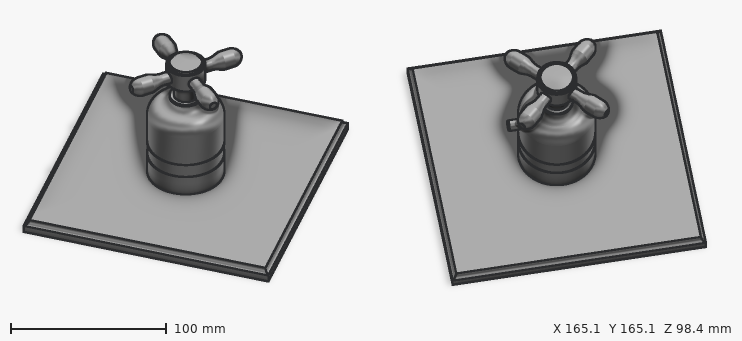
import cadquery as cq
import math

plate_side = 165.1
side_count = 4
plate_edge_height = 5.0
plate_height = 8.5
cove_width = 2.8

body_radius = 25.0
band_depth = 0.3
band_bottom = 22.6
band_top = 32.4
shoulder_bottom = 54.2
shoulder_radius = 9.9
shoulder_edge_radius = 16.5
collar_radius = 10.4
collar_bottom = 69.0
collar_top = 70.3
collar_cove_sag = 1.0
neck_radius = 7.6

hub_radius = 12.5
hub_taper_radius = 8.3
hub_taper_bottom = 80.2
hub_bottom = 83.0
hub_top = 95.8
cap_radius = 11.0
cap_crown_radius = 10.4
cap_edge_top = 97.2
overall_height = 98.4

arm_count = 4
arm_first_angle = 45.0
arm_height = 89.0
arm_stem_radius = 4.0
arm_stem_end = 17.8
arm_flare_end = 23.1
arm_flare_radius = 5.3
arm_flare_sag = 0.25
arm_grip_start = 25.8
arm_grip_end = 33.2
arm_grip_radius = 6.1
arm_tip_radius = 2.5
arm_reach = 39.1
arm_nose_sag = 0.8

button_radius = 3.5
button_height = 48.5
button_reach = 31.9
button_chamfer = 0.7


def make_plate():
    """Square plate whose upper edge is hollowed by a cove, vertical where it meets the top face."""
    half = plate_side / 2
    cove_height = plate_height - plate_edge_height
    cove_radius = (cove_width**2 + cove_height**2) / (2 * cove_width)
    cove_axis = half - cove_width + cove_radius
    plate = cq.Workplane("XY").box(plate_side, plate_side, plate_height, centered=(True, True, False))
    for side in range(side_count):
        cutter = (
            cq.Workplane("XZ")
            .center(cove_axis, plate_height)
            .circle(cove_radius)
            .extrude(plate_side, both=True)
            .rotate((0, 0, 0), (0, 0, 1), side * 360 / side_count)
        )
        plate = plate.cut(cutter)
    return plate


def make_body():
    """Turned body and hub: grooved barrel, rounded shoulder, neck and domed cap."""
    band_radius = body_radius - band_depth
    shoulder_axis = body_radius - shoulder_radius
    diagonal = shoulder_radius * math.sqrt(0.5)
    shoulder_top = shoulder_bottom + math.sqrt(
        shoulder_radius**2 - (shoulder_edge_radius - shoulder_axis) ** 2
    )
    crown_rise = overall_height - cap_edge_top
    crown_sphere_radius = (cap_crown_radius**2 + crown_rise**2) / (2 * crown_rise)
    return (
        cq.Workplane("XZ")
        .moveTo(0, 0)
        .lineTo(body_radius, 0)
        .lineTo(body_radius, band_bottom)
        .lineTo(band_radius, band_bottom)
        .lineTo(band_radius, band_top)
        .lineTo(body_radius, band_top)
        .lineTo(body_radius, shoulder_bottom)
        .threePointArc(
            (shoulder_axis + diagonal, shoulder_bottom + diagonal),
            (shoulder_edge_radius, shoulder_top),
        )
        .sagittaArc((collar_radius, collar_bottom), collar_cove_sag)
        .lineTo(collar_radius, collar_top)
        .lineTo(neck_radius, collar_top)
        .lineTo(neck_radius, hub_taper_bottom)
        .lineTo(hub_taper_radius, hub_taper_bottom)
        .lineTo(hub_radius, hub_bottom)
        .lineTo(hub_radius, hub_top)
        .lineTo(cap_radius, hub_top)
        .lineTo(cap_crown_radius, cap_edge_top)
        .radiusArc((0, overall_height), -crown_sphere_radius)
        .close()
        .revolve(360, (0, 0, 0), (0, 1, 0))
    )


def make_arm(angle):
    """Turned arm with a flared grip and a rounded nose, pointing outward at the given angle."""
    return (
        cq.Workplane("XZ")
        .moveTo(0, 0)
        .lineTo(0, arm_stem_radius)
        .lineTo(arm_stem_end, arm_stem_radius)
        .sagittaArc((arm_flare_end, arm_flare_radius), -arm_flare_sag)
        .lineTo(arm_grip_start, arm_grip_radius)
        .lineTo(arm_grip_end, arm_grip_radius)
        .sagittaArc((arm_reach, arm_tip_radius), arm_nose_sag)
        .lineTo(arm_reach, 0)
        .close()
        .revolve(360, (0, 0, 0), (1, 0, 0))
        .translate((0, 0, arm_height))
        .rotate((0, 0, 0), (0, 0, 1), angle)
    )


def make_button():
    """Round stop button standing out from the barrel, chamfered at its outer end."""
    return (
        cq.Workplane("XZ", origin=(0, 0, button_height))
        .circle(button_radius)
        .extrude(-button_reach)
        .faces(">Y")
        .chamfer(button_chamfer)
    )


result = make_plate().union(make_body()).union(make_button())
for arm in range(arm_count):
    result = result.union(make_arm(arm_first_angle + arm * 360 / arm_count))